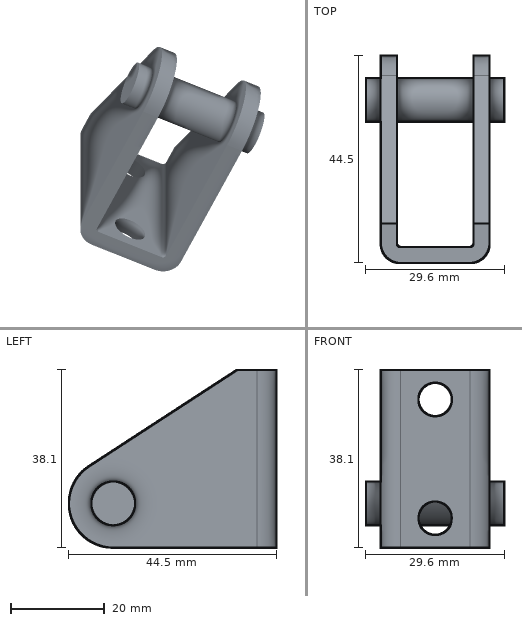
import cadquery as cq
import math

length = 44.45
width = 23.35
height = 38.1
thickness = 3.5
bend_outer_radius = 4.22
bend_inner_radius = bend_outer_radius - thickness
top_flat_length = 8.45
nose_radius = 9.5

hole_diameter = 7.1
hole_edge_distance = 6.35

pin_diameter = 9.4
pin_length = 29.6
pin_y = length - nose_radius
pin_z = nose_radius


def u_channel():
    """Bent channel of full height, open toward +Y."""
    outer = (
        cq.Workplane("XY")
        .box(width, length, height, centered=(True, False, False))
        .edges("|Z and <Y")
        .fillet(bend_outer_radius)
    )
    inner = (
        cq.Workplane("XY")
        .box(width - 2 * thickness, length, height, centered=(True, False, False))
        .translate((0, thickness, 0))
        .edges("|Z and <Y")
        .fillet(bend_inner_radius)
    )
    return outer.cut(inner)


def side_profile():
    """Side plate outline, with the sloping edge tangent to the nose, across the full width."""
    rise = height - pin_z
    run = top_flat_length - pin_y
    tangent_angle = math.atan2(rise, run) - math.acos(nose_radius / math.hypot(rise, run))
    tangent_point = (
        pin_y + nose_radius * math.cos(tangent_angle),
        pin_z + nose_radius * math.sin(tangent_angle),
    )
    return (
        cq.Workplane("YZ", origin=(-width / 2, 0, 0))
        .moveTo(0, 0)
        .lineTo(pin_y, 0)
        .threePointArc((length, pin_z), tangent_point)
        .lineTo(top_flat_length, height)
        .lineTo(0, height)
        .close()
        .extrude(width)
    )


def pin_cylinder():
    """Cylinder along X, centred across the bracket."""
    return (
        cq.Workplane("YZ", origin=(-pin_length / 2, 0, 0))
        .center(pin_y, pin_z)
        .circle(pin_diameter / 2)
        .extrude(pin_length)
    )


def mounting_holes():
    """Cylinders that pass through the web only."""
    return (
        cq.Workplane("XZ")
        .pushPoints([(0, hole_edge_distance), (0, height - hole_edge_distance)])
        .circle(hole_diameter / 2)
        .extrude(-thickness)
    )


def make_bracket():
    """Channel trimmed to the side outline, with mounting and pin holes."""
    return u_channel().intersect(side_profile()).cut(mounting_holes()).cut(pin_cylinder())


bracket = make_bracket()
pin = pin_cylinder()

result = cq.Compound.makeCompound([bracket.solids().val(), pin.solids().val()])